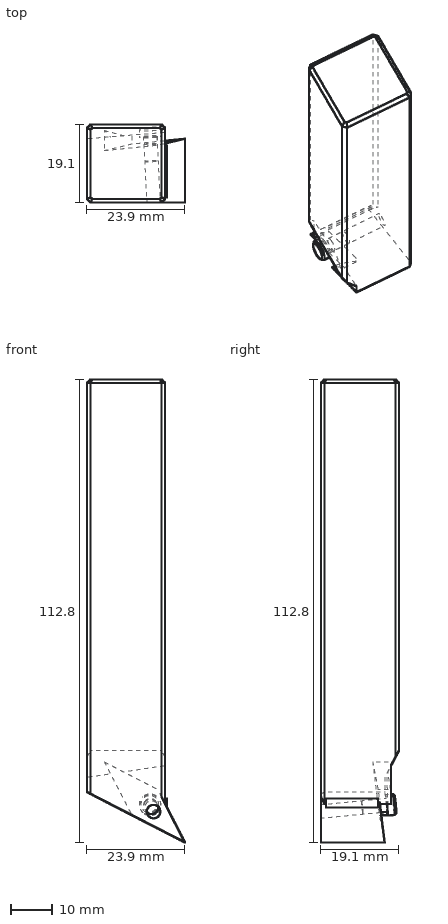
import cadquery as cq
import math

LENGTH = 112.8
WIDTH = 19.1
CHAMFER = 0.9

TIP_X = 23.9
HEEL_HEIGHT = 12.3
TIP_ANGLE = 35.5
END_ANGLE = math.atan2(HEEL_HEIGHT, TIP_X)
SIDE_ANGLE = END_ANGLE + math.radians(TIP_ANGLE)

PAD_X = 19.5
PAD_TOP_Z = 10.7
PAD_FRONT_Y = 1.2
PAD_BACK_Y = 13.9

TILT = 0.11
TILT_X = TILT * math.cos(SIDE_ANGLE)
TILT_Z = TILT * math.sin(SIDE_ANGLE)
RELIEF_SLOPE = 0.08
RELIEF_Y = 15.6
RELIEF_RAMP_Z = 15.5
RELIEF_TOP_Z = 22.4
RAMP_FOOT_Y = 15.3
SEAT_Y = 15.6
SEAT_SIDE = 14.5
CUT_MARGIN = 11.3

SCREW_DIAMETER = 3.3
SCREW_FRONT_X = 16.2
SCREW_FRONT_Z = 7.5
SCREW_END = 10.1
HEAD_START = 16.1
HEAD_END = 18.3
HEAD_DIAMETER = 5.2
HEAD_CHAMFER = 0.5


def prism_along_y(points, start_y, end_y):
    """Extrude an XZ outline from start_y to end_y."""
    return cq.Workplane("XZ", origin=(0, start_y, 0)).polyline(points).close().extrude(start_y - end_y)


def along_end_face(distance):
    return (TIP_X - distance * math.cos(END_ANGLE), distance * math.sin(END_ANGLE))


def along_side_face(distance):
    return (TIP_X - distance * math.cos(SIDE_ANGLE), distance * math.sin(SIDE_ANGLE))


def above_tilted_plane(x, y, z, slope_x, slope_z):
    """Large block behind the tilted plane through the given point."""
    plane = cq.Plane(origin=(x, y, z), xDir=(1, slope_x, 0), normal=(-slope_x, 1, -slope_z))
    return cq.Workplane(plane).rect(LENGTH, LENGTH).extrude(WIDTH)


def make_side_pad():
    """Thin raised pad on the +X side where the shank runs into the nose."""
    inner_x = WIDTH - CHAMFER
    foot_z = (TIP_X - PAD_X) * math.tan(SIDE_ANGLE)
    outline = [(inner_x, foot_z), (PAD_X, foot_z), (PAD_X, PAD_TOP_Z), (inner_x, PAD_TOP_Z)]
    return prism_along_y(outline, PAD_FRONT_Y, PAD_BACK_Y)


def make_stock():
    shank = cq.Workplane("XY").box(WIDTH, WIDTH, LENGTH, centered=False)
    shank = shank.edges("|Z").chamfer(CHAMFER).faces(">Z").chamfer(CHAMFER)
    below_end_face = prism_along_y([(0, 0), (TIP_X, 0), (0, HEEL_HEIGHT)], 0, WIDTH)
    nose_root_x = WIDTH - CHAMFER
    nose_root_distance = (TIP_X - nose_root_x) / math.cos(SIDE_ANGLE)
    end_face_distance = (TIP_X - nose_root_x) / math.cos(END_ANGLE)
    nose = prism_along_y(
        [(TIP_X, 0), along_side_face(nose_root_distance), along_end_face(end_face_distance)],
        0, RELIEF_Y + RELIEF_SLOPE * TIP_X)
    return shank.cut(below_end_face).union(nose).union(make_side_pad())


def make_relief():
    ramp_slope = (RELIEF_TOP_Z - RELIEF_RAMP_Z) / (WIDTH - RAMP_FOOT_Y)
    ramp_bottom_y = RAMP_FOOT_Y - RELIEF_RAMP_Z / ramp_slope
    below_ramp = (
        cq.Workplane("YZ", origin=(-CUT_MARGIN, 0, 0))
        .polyline([(ramp_bottom_y, 0), (WIDTH, RELIEF_TOP_Z), (WIDTH, 0)])
        .close()
        .extrude(TIP_X + 2 * CUT_MARGIN)
    )
    return below_ramp.intersect(above_tilted_plane(0, RELIEF_Y, HEEL_HEIGHT, RELIEF_SLOPE, 0))


def make_seat():
    reach = SEAT_SIDE + CUT_MARGIN
    end_x, end_z = along_end_face(SEAT_SIDE)
    side_x, side_z = along_side_face(SEAT_SIDE)
    inner_corner = (end_x + side_x - TIP_X, end_z + side_z)
    rhombus = prism_along_y(
        [(TIP_X, 0), (end_x, end_z), inner_corner, (side_x, side_z)], 0, reach)
    return rhombus.intersect(above_tilted_plane(TIP_X, SEAT_Y, 0, TILT_X, -TILT_Z))


def screw_cylinder(start, end, diameter):
    """Cylinder on the screw axis, which is square to the tilted seat."""
    axis = cq.Vector(-TILT_X, 1, TILT_Z).normalized()
    origin = cq.Vector(SCREW_FRONT_X, 0, SCREW_FRONT_Z) + axis * start
    plane = cq.Plane(origin=origin, xDir=(1, TILT_X, 0), normal=axis)
    return cq.Workplane(plane).circle(diameter / 2).extrude(end - start)


def make_holder():
    screw_hole = screw_cylinder(-CUT_MARGIN, WIDTH, SCREW_DIAMETER)
    return make_stock().cut(make_relief()).cut(make_seat()).cut(screw_hole)


def make_screw():
    shaft = screw_cylinder(SCREW_END, HEAD_START, SCREW_DIAMETER)
    head = screw_cylinder(HEAD_START, HEAD_END, HEAD_DIAMETER).faces(">Y").chamfer(HEAD_CHAMFER)
    return shaft.union(head)


holder = make_holder()
screw = make_screw()
result = cq.Compound.makeCompound([holder.val(), screw.val()])